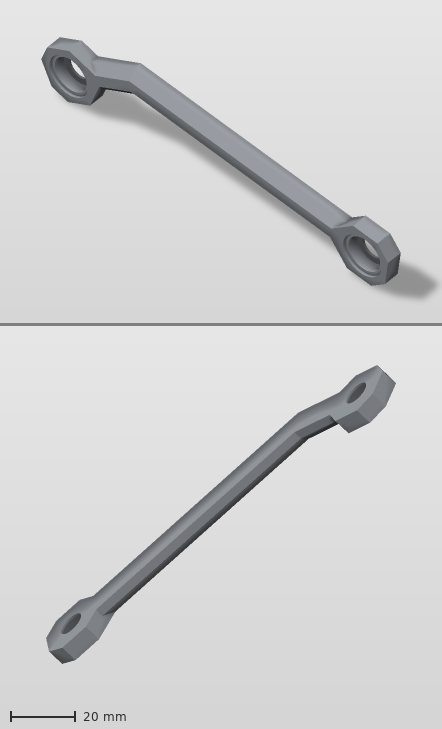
import cadquery as cq
import math

THICKNESS = 6.0
LEFT_EYE_CENTER = (0.0, 0.0)
BEND_POINT = (25.2, 11.83)
RIGHT_EYE_CENTER = (120.0, -0.25)

BAR_HALF_WIDTH = 5.0
BAR_BEVEL = 3.0
BAR_FLAT_HALF_WIDTH = BAR_HALF_WIDTH - BAR_BEVEL

EYE_HALF_WIDTH = 10.0
EYE_CORNER_CUT = 5.0

THROUGH_DIAMETER = 8.4
BORE_DIAMETER = 13.0
BORE_DEPTH = 5.2
RIM_DIAMETER = 15.6
RIM_DEPTH = 1.0


def front_plane(origin, angle=0.0):
    """XZ work plane on the front face, its local x turned by angle (degrees) from X towards Z."""
    direction = (math.cos(math.radians(angle)), 0, math.sin(math.radians(angle)))
    return cq.Plane(origin=(origin[0], 0, origin[1]), xDir=direction, normal=(0, -1, 0))


def heading(start, end):
    """Angle in degrees of the line from start to end."""
    return math.degrees(math.atan2(end[1] - start[1], end[0] - start[0]))


def bar_leg(start, end):
    """Bevelled bar from start to end, running on past the end for the mitre cut."""
    length = math.dist(start, end) + BAR_HALF_WIDTH
    angle = math.radians(heading(start, end))
    along = (math.cos(angle), 0, math.sin(angle))
    across = (-math.sin(angle), 0, math.cos(angle))
    section_plane = cq.Plane(origin=(start[0], 0, start[1]), xDir=across, normal=along)
    section = [
        (-BAR_HALF_WIDTH, -THICKNESS),
        (BAR_HALF_WIDTH, -THICKNESS),
        (BAR_HALF_WIDTH, -BAR_BEVEL),
        (BAR_FLAT_HALF_WIDTH, 0),
        (-BAR_FLAT_HALF_WIDTH, 0),
        (-BAR_HALF_WIDTH, -BAR_BEVEL),
    ]
    return cq.Workplane(section_plane).polyline(section).close().extrude(length)


def bent_bar():
    """Two bar legs mitred together at the bend."""
    left_angle = heading(LEFT_EYE_CENTER, BEND_POINT)
    right_angle = heading(BEND_POINT, RIGHT_EYE_CENTER)
    mitre_plane = front_plane(BEND_POINT, (left_angle + right_angle) / 2)
    reach = math.dist(BEND_POINT, RIGHT_EYE_CENTER)

    def mitre_side(direction):
        """Block on one side of the mitre: -1 for the left leg, 1 for the right leg."""
        return (
            cq.Workplane(mitre_plane)
            .center(direction * reach, 0)
            .rect(2 * reach, 2 * reach)
            .extrude(-THICKNESS)
        )

    left_leg = bar_leg(LEFT_EYE_CENTER, BEND_POINT).intersect(mitre_side(-1))
    right_leg = bar_leg(RIGHT_EYE_CENTER, BEND_POINT).intersect(mitre_side(1))
    return left_leg.union(right_leg)


def eye(center):
    """Eye block; the side facing the bend tapers at 45 degrees to the flat front of the bar."""
    corner = EYE_HALF_WIDTH - EYE_CORNER_CUT
    taper_end = EYE_HALF_WIDTH + corner - BAR_FLAT_HALF_WIDTH
    upper_half = [
        (taper_end, BAR_FLAT_HALF_WIDTH),
        (corner, EYE_HALF_WIDTH),
        (-corner, EYE_HALF_WIDTH),
        (-EYE_HALF_WIDTH, corner),
    ]
    lower_half = [(x, -y) for x, y in reversed(upper_half)]
    plane = front_plane(center, heading(center, BEND_POINT))
    return cq.Workplane(plane).polyline(upper_half + lower_half).close().extrude(-THICKNESS)


def hole(center):
    """Stepped hole: shallow rim, bearing bore and through hole."""
    plane = front_plane(center)
    steps = [
        (THROUGH_DIAMETER, THICKNESS),
        (BORE_DIAMETER, BORE_DEPTH),
        (RIM_DIAMETER, RIM_DEPTH),
    ]
    cutter = cq.Workplane(plane)
    for diameter, depth in steps:
        cutter = cutter.union(cq.Workplane(plane).circle(diameter / 2).extrude(-depth))
    return cutter


result = bent_bar()
eye_centers = [LEFT_EYE_CENTER, RIGHT_EYE_CENTER]
for eye_center in eye_centers:
    result = result.union(eye(eye_center))
for eye_center in eye_centers:
    result = result.cut(hole(eye_center))